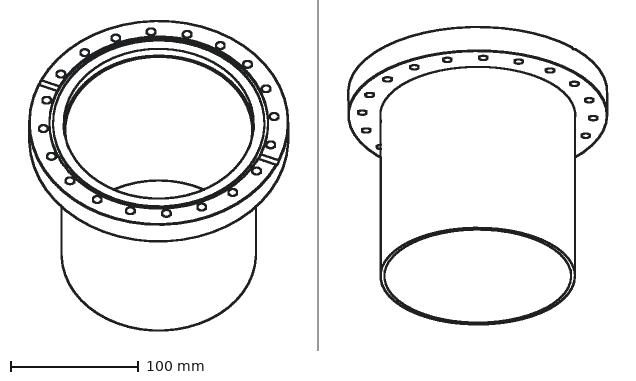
import cadquery as cq
import math

total_height = 167.0
flange_diameter = 203.0
flange_thickness = 22.0
edge_chamfer = 0.5

tube_outer_diameter = 152.5
tube_inner_diameter = 146.4
socket_diameter = 152.9
flange_bore_diameter = 149.0
shoulder_depth = 10.0

recess_diameter = 171.3
recess_depth = 1.8
knife_diameter = 165.6
knife_depth = 0.8
inner_face_depth = 1.5

bolt_count = 20
bolt_circle_diameter = 181.0
bolt_hole_diameter = 7.0

groove_width = 4.9
groove_depth = 1.2

flange_bottom = total_height - flange_thickness
shoulder_height = total_height - shoulder_depth


def make_flange_ring():
    """Revolve the flange section with its socket, bore and knife edge."""
    outer_radius = flange_diameter / 2
    socket_radius = socket_diameter / 2
    bore_radius = flange_bore_diameter / 2
    recess_radius = recess_diameter / 2
    knife_radius = knife_diameter / 2
    section = [
        (socket_radius, flange_bottom),
        (outer_radius - edge_chamfer, flange_bottom),
        (outer_radius, flange_bottom + edge_chamfer),
        (outer_radius, total_height - edge_chamfer),
        (outer_radius - edge_chamfer, total_height),
        (recess_radius, total_height),
        (recess_radius, total_height - recess_depth),
        (knife_radius, total_height - knife_depth),
        (knife_radius, total_height - inner_face_depth),
        (bore_radius, total_height - inner_face_depth),
        (bore_radius, shoulder_height),
        (socket_radius, shoulder_height),
    ]
    return cq.Workplane("XZ").polyline(section).close().revolve(360, (0, 0), (0, 1))


def make_bolt_holes():
    """Through-hole cutters, offset half a pitch from the X axis."""
    half_pitch = 180 / bolt_count
    return (
        cq.Workplane("XY", origin=(0, 0, flange_bottom))
        .polarArray(bolt_circle_diameter / 2, half_pitch, 360, bolt_count)
        .circle(bolt_hole_diameter / 2)
        .extrude(flange_thickness)
    )


def make_groove(side):
    """Groove cutter from the recess wall to the rim on one side (+1 or -1) of X."""
    groove_radius = ((groove_width / 2) ** 2 + groove_depth**2) / (2 * groove_depth)
    axis_height = total_height - groove_depth + groove_radius
    start = math.sqrt((recess_diameter / 2) ** 2 - (groove_width / 2) ** 2)
    length = flange_diameter / 2 - start
    start_point = cq.Vector(side * start, 0, axis_height)
    return cq.Solid.makeCylinder(groove_radius, length, start_point, cq.Vector(side, 0, 0))


def make_flange():
    flange = make_flange_ring().cut(make_bolt_holes())
    for side in (-1, 1):
        flange = flange.cut(cq.Workplane(make_groove(side)))
    return flange


def make_tube():
    """Plain tube seated against the shoulder inside the flange."""
    return (
        cq.Workplane("XY")
        .circle(tube_outer_diameter / 2)
        .circle(tube_inner_diameter / 2)
        .extrude(shoulder_height)
    )


flange = make_flange()
tube = make_tube()
result = cq.Compound.makeCompound([flange.val(), tube.val()])